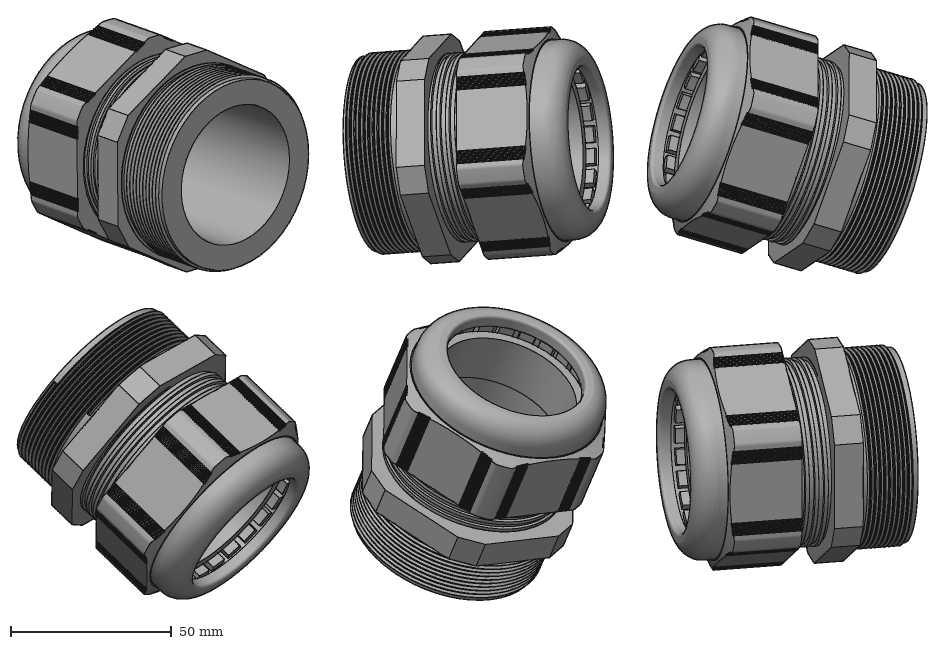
import cadquery as cq
import math

CLOCKING = 0.47
HEX_CORNERS = 6
total_length = 71.0

cap_end = 33.5
cap_bore = 45.17
cap_lip_round = 1.0
cap_lip_depth = 4.0
dome_face_diameter = 51.0
dome_diameter = 62.6
dome_length = 7.1
cap_hex_start = 10.2
cap_bevel_end = 12.0
cap_bevel_diameter = 63.4
cap_across_flats = 65.0
cap_corner_diameter = 72.29
cap_corner_round = 2.0
finger_seat_end = 21.0
cap_thread_bore = 59.97

groove_count = 5
groove_pitch = 0.9
groove_width = 0.45
groove_depth = 0.4
strip_inner_edge = 9.85

finger_diameter = 55.9
finger_tip = 6.2
finger_count = 24
finger_slot_width = 1.9
finger_slot_end = 17.0
finger_slot_angle = 5.5
neck_start = 23.0
neck_diameter = 57.4
flange_start = 43.75
flange_end = 52.95
flange_across_flats = 66.0
flange_across_corners = 71.0
collar_diameter = 63.11
collar_width = 0.25
spigot_diameter = 61.28
housing_bore = 45.17

seal_bore = 45.16
seal_diameter = 51.4
seal_start = 9.0
seal_end = 25.6

ROOT_SINK = 0.15
cap_thread_pitch = 3.0
cap_thread_crest = 59.1
cap_thread_crest_width = 1.2
cap_thread_base_width = 1.6
cap_thread_start = 28.45
cap_thread_turns = 5.7
cap_thread_angle = 0.0
entry_thread_pitch = 1.5
entry_thread_crest = 62.92
entry_thread_crest_width = 0.15
entry_thread_base_width = 1.15
entry_thread_start = 54.85
entry_thread_turns = 10.0
entry_thread_angle = 60.0


def cylinder(diameter, start, end):
    """Solid cylinder on the X axis."""
    return cq.Workplane("YZ", origin=(start, 0, 0)).circle(diameter / 2).extrude(end - start)


def revolve(profile):
    """Turn a closed (x, radius) profile about the X axis."""
    return profile.close().revolve(360, (0, 0, 0), (1, 0, 0))


def turn(body, angle):
    return body.rotate((0, 0, 0), (1, 0, 0), angle)


def hexagon(across_flats, start, end):
    """Hexagonal prism with flats facing +Y and -Y."""
    corner_circle = across_flats / math.cos(math.pi / HEX_CORNERS)
    outline = cq.Workplane("YZ", origin=(start, 0, 0)).polygon(HEX_CORNERS, corner_circle)
    prism = outline.extrude(end - start)
    return turn(prism, 180 / HEX_CORNERS)


def thread(pitch, core, crest, base_width, crest_width, start, turns, start_angle):
    """Right-handed helical ridge; the angle is measured from +Y towards +Z."""
    root_radius = core / 2 - ROOT_SINK
    flank = (base_width - crest_width) / 2
    sunk_half = base_width / 2 + flank * ROOT_SINK / ((crest - core) / 2)
    helix = cq.Wire.makeHelix(pitch, pitch * turns, root_radius)
    ridge = (
        cq.Workplane("XZ")
        .moveTo(root_radius, -sunk_half)
        .lineTo(crest / 2, -crest_width / 2)
        .lineTo(crest / 2, crest_width / 2)
        .lineTo(root_radius, sunk_half)
        .close()
        .sweep(cq.Workplane(obj=helix), isFrenet=True)
    )
    along_x = ridge.rotate((0, 0, 0), (1, 1, 1), 120)
    return turn(along_x, start_angle).translate((start, 0, 0))


def make_cap_hexagon():
    prism = hexagon(cap_across_flats, cap_hex_start, cap_end)
    prism = prism.intersect(cylinder(cap_corner_diameter, cap_hex_start, cap_end))
    prism = prism.edges("|X").fillet(cap_corner_round)
    bevelled_blank = revolve(
        cq.Workplane("XY")
        .moveTo(cap_hex_start, 0)
        .lineTo(cap_hex_start, cap_bevel_diameter / 2)
        .lineTo(cap_bevel_end, cap_corner_diameter / 2)
        .lineTo(cap_end, cap_corner_diameter / 2)
        .lineTo(cap_end, 0)
    )
    return prism.intersect(bevelled_blank)


def make_knurl_cutter():
    """Square grooves of the two strips on the +Y flat."""
    flat = cap_across_flats / 2
    cutter = cq.Workplane("YZ", origin=(cap_hex_start, 0, 0))
    for side in (1, -1):
        for index in range(groove_count):
            groove_middle = side * (strip_inner_edge + groove_width / 2 + index * groove_pitch)
            cutter = cutter.moveTo(flat, groove_middle).rect(2 * groove_depth, groove_width)
    return cutter.extrude(cap_end - cap_hex_start)


def make_cap():
    dome = revolve(
        cq.Workplane("XY")
        .moveTo(cap_hex_start, 0)
        .lineTo(cap_hex_start, dome_diameter / 2)
        .lineTo(dome_length, dome_diameter / 2)
        .tangentArcPoint((0, dome_face_diameter / 2), relative=False)
        .lineTo(0, 0)
    )
    dome = dome.cut(cylinder(cap_bore, 0, cap_hex_start))
    bore_rim = dome.faces("<X").edges(cq.selectors.RadiusNthSelector(0))
    cap = bore_rim.fillet(cap_lip_round).union(make_cap_hexagon())
    grooves = make_knurl_cutter()
    for flat in range(HEX_CORNERS):
        cap = cap.cut(turn(grooves, flat * 360 / HEX_CORNERS))
    cap = cap.cut(cylinder(finger_diameter, cap_lip_depth, finger_seat_end))
    cap = cap.cut(cylinder(cap_thread_bore, finger_seat_end, cap_end))
    return turn(cap, CLOCKING)


def make_flange():
    """Wrench hexagon with flats cut across its corners."""
    flange = hexagon(flange_across_flats, flange_start, flange_end)
    corner_cuts = turn(hexagon(flange_across_corners, flange_start, flange_end), 180 / HEX_CORNERS)
    return turn(flange.intersect(corner_cuts), CLOCKING)


def make_finger_slots():
    slot = cq.Workplane("XY").box(
        finger_slot_end - finger_tip, finger_diameter, finger_slot_width, centered=(False, False, True)
    )
    slot = slot.translate((finger_tip, 0, 0))
    step = 360 / finger_count
    slots = turn(slot, finger_slot_angle)
    for index in range(1, finger_count):
        slots = slots.union(turn(slot, finger_slot_angle + index * step))
    return slots


def make_housing():
    fingers = cylinder(finger_diameter, finger_tip, neck_start)
    fingers = fingers.cut(cylinder(seal_diameter, finger_tip, neck_start))
    fingers = fingers.cut(make_finger_slots())
    shell = (
        cylinder(neck_diameter, neck_start, flange_end)
        .union(make_flange())
        .union(cylinder(collar_diameter, flange_end, flange_end + collar_width))
        .union(cylinder(spigot_diameter, flange_end, total_length))
    )
    shell = shell.union(thread(
        cap_thread_pitch, neck_diameter, cap_thread_crest, cap_thread_base_width,
        cap_thread_crest_width, cap_thread_start, cap_thread_turns, cap_thread_angle,
    ))
    shell = shell.union(thread(
        entry_thread_pitch, spigot_diameter, entry_thread_crest, entry_thread_base_width,
        entry_thread_crest_width, entry_thread_start, entry_thread_turns, entry_thread_angle,
    ))
    shell = shell.cut(cylinder(seal_diameter, neck_start, seal_end))
    shell = shell.cut(cylinder(housing_bore, seal_end, total_length))
    return shell.union(fingers)


def make_seal():
    return cylinder(seal_diameter, seal_start, seal_end).cut(cylinder(seal_bore, seal_start, seal_end))


cap = make_cap()
housing = make_housing()
seal = make_seal()
result = cq.Compound.makeCompound([*cap.solids().vals(), *housing.solids().vals(), seal.val()])